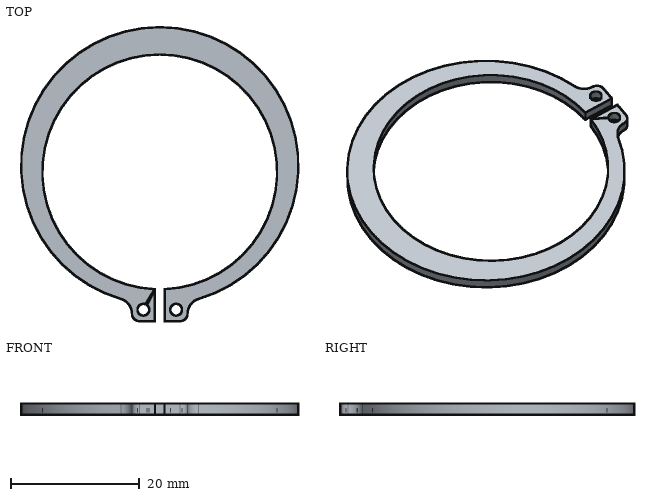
import cadquery as cq
import math

thickness = 1.8
inner_diameter = 36.5
outer_diameter = 43.2
overall_length = 45.8
rim_width_at_back = 4.3
gap_width = 1.5
lug_outer_x = 4.35
lug_corner_radius = 1.2
hole_diameter = 1.8
hole_spacing = 5.1
hole_to_lug_end = 1.8

inner_radius = inner_diameter / 2
outer_radius = outer_diameter / 2
rim_centre_y = inner_radius + rim_width_at_back - outer_radius
lug_end_y = rim_centre_y + outer_radius - overall_length
lug_corner_y = lug_end_y + lug_corner_radius
lug_corner_x = lug_outer_x - lug_corner_radius

fillet_drop = rim_centre_y - lug_corner_y
fillet_radius = (lug_outer_x**2 + fillet_drop**2 - outer_radius**2) / (2 * (outer_radius - lug_outer_x))
fillet_centre_x = lug_outer_x + fillet_radius
fillet_angle = math.atan2(fillet_drop, fillet_centre_x)
rim_end_x = outer_radius * math.cos(fillet_angle)
rim_end_y = rim_centre_y - outer_radius * math.sin(fillet_angle)


def point_on_circle(centre_x, centre_y, radius, angle):
    return (centre_x + radius * math.cos(angle), centre_y + radius * math.sin(angle))


def make_half_ring():
    """Right-hand half of the ring with its lug, from the gap round to the back."""
    gap_x = gap_width / 2
    inner_end_y = -math.sqrt(inner_radius**2 - gap_x**2)
    fillet_middle = point_on_circle(
        fillet_centre_x, lug_corner_y, fillet_radius, math.pi - fillet_angle / 2
    )
    corner_middle = point_on_circle(lug_corner_x, lug_corner_y, lug_corner_radius, -math.pi / 4)
    return (
        cq.Workplane("XY")
        .moveTo(0, inner_radius)
        .lineTo(0, rim_centre_y + outer_radius)
        .threePointArc((outer_radius, rim_centre_y), (rim_end_x, rim_end_y))
        .threePointArc(fillet_middle, (lug_outer_x, lug_corner_y))
        .threePointArc(corner_middle, (lug_corner_x, lug_end_y))
        .lineTo(gap_x, lug_end_y)
        .lineTo(gap_x, inner_end_y)
        .threePointArc((inner_radius, 0), (0, inner_radius))
        .close()
        .extrude(thickness)
    )


def cut_plier_holes(ring):
    """Through holes in both lugs for the pliers."""
    hole_x = hole_spacing / 2
    hole_y = lug_end_y + hole_to_lug_end
    holes = (
        cq.Workplane("XY")
        .pushPoints([(-hole_x, hole_y), (hole_x, hole_y)])
        .circle(hole_diameter / 2)
        .extrude(thickness)
    )
    return ring.cut(holes)


half_ring = make_half_ring()
full_ring = half_ring.union(half_ring.mirror("YZ")).clean()
result = cut_plier_holes(full_ring)